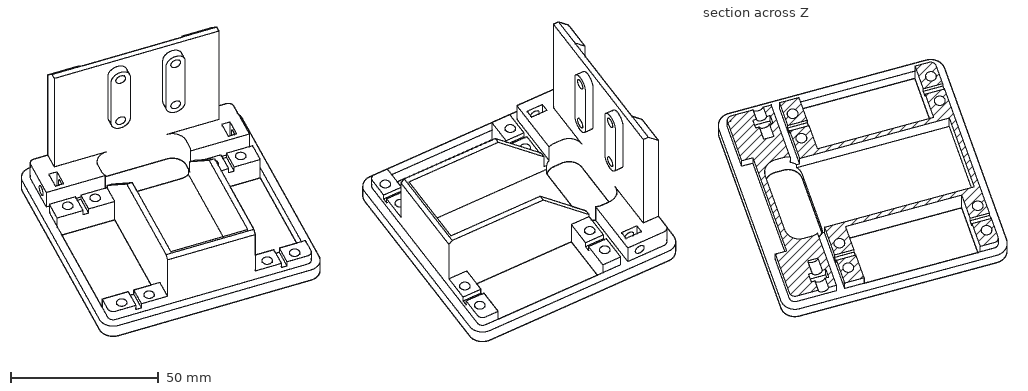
import cadquery as cq

PLATE_SIZE = 80.0
PLATE_HEIGHT = 5.0
PLATE_CORNER_RADIUS = 5.0
RIM_WIDTH = 3.0
INNER_EDGE = PLATE_SIZE / 2 - RIM_WIDTH
INNER_SIZE = 2 * INNER_EDGE
INNER_CORNER_RADIUS = PLATE_CORNER_RADIUS - RIM_WIDTH

FOOT_LENGTH = 16.2
FOOT_TOP = 12.0
FOOT_END_X = -INNER_EDGE + FOOT_LENGTH

WALL_THICKNESS = 6.0
WALL_WIDTH = 60.0
WALL_TOP = 55.0
WALL_BACK_X = -INNER_EDGE + WALL_THICKNESS
RECESS_WIDTH = 38.0
RECESS_WEB = 2.0
RECESS_FACE_X = WALL_BACK_X - RECESS_WEB
WALL_CHAMFER = WALL_THICKNESS - RECESS_WEB

SCREW_DIAMETER = 3.5
PAD_WIDTH = 7.0
PAD_THICKNESS = 3.0
WALL_HOLE_PITCH = 20.0
WALL_HOLE_CENTRE_Y = 3.0
WALL_HOLE_CENTRE_Z = 38.5

BOX_START_X = -18.0
BOX_WIDTH = 32.0
BOX_TOP = 28.0
BOX_SIDE_WALL = 2.0
BOX_END_WALL = 2.0
BOX_FLOOR = 3.0
BOX_FRONT_HEIGHT = 10.0
BOX_END_CHAMFER = 1.3
BOX_SLOPE_END_X = BOX_START_X + BOX_TOP - BOX_FRONT_HEIGHT

OPENING_LENGTH = BOX_START_X - WALL_BACK_X
OPENING_CENTRE_X = (BOX_START_X + WALL_BACK_X) / 2
OPENING_CORNER_RADIUS = 5.0

TAB_LENGTH = 7.0
TAB_TOP = 9.0
FRONT_TAB_X = BOX_START_X
REAR_TAB_X = INNER_EDGE - TAB_LENGTH
TAB_SPAN = INNER_EDGE - BOX_WIDTH / 2
TAB_CENTRE_Y = INNER_EDGE - TAB_SPAN / 2
TAB_HOLE_PITCH = 10.0
TAB_HOLE_EDGE = 3.0
GROOVE_WIDTH = 2.0
GROOVE_DEPTH = 2.0

SIDE_HOLE_X = -25.5
SIDE_HOLE_Z = (PLATE_HEIGHT + FOOT_TOP) / 2
SIDE_HOLE_DEPTH = 12.0
NUT_SLOT_LENGTH = 6.0
NUT_SLOT_WIDTH = 3.0
NUT_SLOT_OUTER_Y = 33.0

SIDES = (-1, 1)


def block(x_range, y_range, z_range):
    """Return a box spanning the given coordinate ranges."""
    sizes = [high - low for low, high in (x_range, y_range, z_range)]
    return cq.Workplane("XY").box(*sizes, centered=False).translate((x_range[0], y_range[0], z_range[0]))


def side_range(low, high, side):
    """Return a Y range on the chosen side of the XZ plane."""
    return (low, high) if side > 0 else (-high, -low)


def rounded_slab(size, radius, height):
    """Return a square slab with rounded vertical edges."""
    return cq.Workplane("XY").rect(size, size).extrude(height).edges("|Z").fillet(radius)


def make_base():
    """Plate with two large windows, foot block and tab blanks."""
    plate = rounded_slab(PLATE_SIZE, PLATE_CORNER_RADIUS, PLATE_HEIGHT)
    raised = rounded_slab(INNER_SIZE, INNER_CORNER_RADIUS, FOOT_TOP)
    full_width = (-INNER_EDGE, INNER_EDGE)
    foot = raised.intersect(block((-INNER_EDGE, FOOT_END_X), full_width, (0, FOOT_TOP)))
    base = plate.union(foot)
    for side in SIDES:
        tab_y = side_range(BOX_WIDTH / 2, INNER_EDGE, side)
        window_x = (FRONT_TAB_X + TAB_LENGTH, REAR_TAB_X)
        base = base.cut(block(window_x, tab_y, (0, PLATE_HEIGHT)))
        for start_x in (FRONT_TAB_X, REAR_TAB_X):
            tab = block((start_x, start_x + TAB_LENGTH), tab_y, (0, TAB_TOP))
            base = base.union(tab.intersect(raised))
    return base


def make_wall():
    """Upright wall with a chamfered top and rounded pads on its back face."""
    wall = (
        cq.Workplane("XZ")
        .moveTo(-INNER_EDGE, 0)
        .lineTo(WALL_BACK_X, 0)
        .lineTo(WALL_BACK_X, WALL_TOP)
        .lineTo(-INNER_EDGE + WALL_CHAMFER, WALL_TOP)
        .lineTo(-INNER_EDGE, WALL_TOP - WALL_CHAMFER)
        .close()
        .extrude(WALL_WIDTH / 2, both=True)
    )
    pads = (
        cq.Workplane("YZ", origin=(WALL_BACK_X, WALL_HOLE_CENTRE_Y, WALL_HOLE_CENTRE_Z))
        .rarray(WALL_HOLE_PITCH, 1, 2, 1)
        .slot2D(WALL_HOLE_PITCH + PAD_WIDTH, PAD_WIDTH, 90)
        .extrude(PAD_THICKNESS)
    )
    return wall.union(pads)


def make_recess():
    """Volume removed from the outer face of the wall and the foot block, down to the plate."""
    half = RECESS_WIDTH / 2
    return block((-INNER_EDGE, RECESS_FACE_X), (-half, half), (PLATE_HEIGHT, WALL_TOP))


def make_wall_holes():
    """Four screw holes through the wall and its pads."""
    return (
        cq.Workplane("YZ", origin=(RECESS_FACE_X, WALL_HOLE_CENTRE_Y, WALL_HOLE_CENTRE_Z))
        .rarray(WALL_HOLE_PITCH, WALL_HOLE_PITCH, 2, 2)
        .circle(SCREW_DIAMETER / 2)
        .extrude(RECESS_WEB + PAD_THICKNESS)
    )


def make_box():
    """Solid body of the box with a sloping front and a chamfered rear edge."""
    return (
        cq.Workplane("XZ")
        .moveTo(BOX_START_X, 0)
        .lineTo(INNER_EDGE, 0)
        .lineTo(INNER_EDGE, BOX_TOP - BOX_END_CHAMFER)
        .lineTo(INNER_EDGE - BOX_END_CHAMFER, BOX_TOP)
        .lineTo(BOX_SLOPE_END_X, BOX_TOP)
        .lineTo(BOX_START_X, BOX_FRONT_HEIGHT)
        .close()
        .extrude(BOX_WIDTH / 2, both=True)
    )


def make_box_cavity():
    """Interior of the box, open towards the cable opening."""
    half = BOX_WIDTH / 2 - BOX_SIDE_WALL
    return block((OPENING_CENTRE_X, INNER_EDGE - BOX_END_WALL), (-half, half), (BOX_FLOOR, BOX_TOP))


def make_opening():
    """Rounded cable opening through the foot block and the plate."""
    return (
        cq.Workplane("XY", origin=(OPENING_CENTRE_X, 0, 0))
        .rect(OPENING_LENGTH, BOX_WIDTH)
        .extrude(FOOT_TOP)
        .edges("|Z")
        .fillet(OPENING_CORNER_RADIUS)
    )


def make_tab_cuts():
    """Vertical screw holes and a cross groove for every mounting tab."""
    hole_columns = (FRONT_TAB_X + TAB_HOLE_EDGE, INNER_EDGE - TAB_HOLE_EDGE)
    half_pitch = TAB_HOLE_PITCH / 2
    half_groove = GROOVE_WIDTH / 2
    points = [
        (x, side * (TAB_CENTRE_Y + offset))
        for x in hole_columns
        for side in SIDES
        for offset in (-half_pitch, half_pitch)
    ]
    cuts = cq.Workplane("XY").pushPoints(points).circle(SCREW_DIAMETER / 2).extrude(TAB_TOP)
    for start_x in (FRONT_TAB_X, REAR_TAB_X):
        for side in SIDES:
            groove_y = side_range(TAB_CENTRE_Y - half_groove, TAB_CENTRE_Y + half_groove, side)
            groove_x = (start_x, start_x + TAB_LENGTH)
            cuts = cuts.union(block(groove_x, groove_y, (TAB_TOP - GROOVE_DEPTH, TAB_TOP)))
    return cuts


def make_side_cuts():
    """Blind cross holes from both sides of the foot block, and their nut slots."""
    full_rod = (
        cq.Workplane("XZ", origin=(SIDE_HOLE_X, 0, SIDE_HOLE_Z))
        .circle(SCREW_DIAMETER / 2)
        .extrude(INNER_EDGE, both=True)
    )
    hole_end_y = INNER_EDGE - SIDE_HOLE_DEPTH
    cuts = full_rod.cut(block((-INNER_EDGE, FOOT_END_X), (-hole_end_y, hole_end_y), (0, FOOT_TOP)))
    slot_x = (SIDE_HOLE_X - NUT_SLOT_LENGTH / 2, SIDE_HOLE_X + NUT_SLOT_LENGTH / 2)
    for side in SIDES:
        slot_y = side_range(NUT_SLOT_OUTER_Y - NUT_SLOT_WIDTH, NUT_SLOT_OUTER_Y, side)
        cuts = cuts.union(block(slot_x, slot_y, (PLATE_HEIGHT, FOOT_TOP)))
    return cuts


result = (
    make_base()
    .union(make_wall())
    .union(make_box())
    .cut(make_box_cavity())
    .cut(make_opening())
    .cut(make_recess())
    .cut(make_wall_holes())
    .cut(make_tab_cuts())
    .cut(make_side_cuts())
)